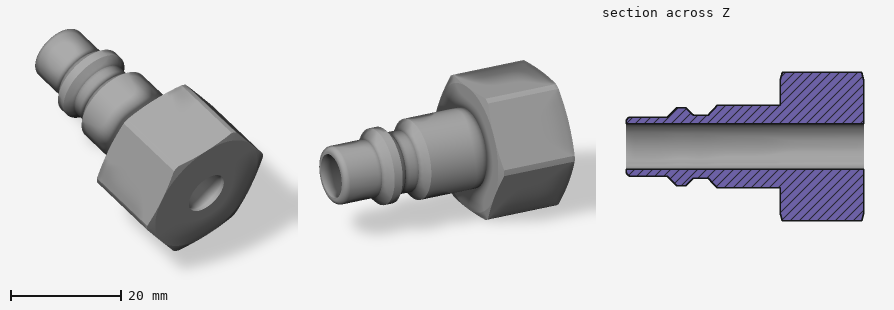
import cadquery as cq
import math

total_length = 43.3
bore_diameter = 8.2

tip_diameter = 10.85
collar_diameter = 14.25
neck_diameter = 11.5
body_diameter = 15.05
tip_rounding = 1.0

tip_end = 7.58
collar_start = 9.25
collar_end = 10.9
neck_start = 12.3
neck_end = 14.95
body_start = 16.6

hex_start = 27.97
hex_across_flats = 24.0
hex_corner_diameter = 27.05
hex_chamfer_angle = 15.0

hex_length = total_length - hex_start


def revolve_about_x(profile):
    return profile.close().revolve(360, (0, 0, 0), (1, 0, 0))


def make_stem():
    tip_radius = tip_diameter / 2
    collar_radius = collar_diameter / 2
    neck_radius = neck_diameter / 2
    body_radius = body_diameter / 2
    profile = (
        cq.Workplane("XY")
        .moveTo(0, 0)
        .lineTo(0, tip_radius - tip_rounding)
        .radiusArc((tip_rounding, tip_radius), tip_rounding)
        .lineTo(tip_end, tip_radius)
        .lineTo(collar_start, collar_radius)
        .lineTo(collar_end, collar_radius)
        .lineTo(neck_start, neck_radius)
        .lineTo(neck_end, neck_radius)
        .lineTo(body_start, body_radius)
        .lineTo(total_length, body_radius)
        .lineTo(total_length, 0)
    )
    return revolve_about_x(profile)


def make_hexagon():
    hex_across_corners = hex_across_flats / math.cos(math.radians(30))
    prism = (
        cq.Workplane("YZ", origin=(hex_start, 0, 0))
        .polygon(6, hex_across_corners)
        .extrude(hex_length)
    )
    flat_radius = hex_across_flats / 2
    corner_radius = hex_corner_diameter / 2
    chamfer_length = (corner_radius - flat_radius) * math.tan(math.radians(hex_chamfer_angle))
    envelope = (
        cq.Workplane("XY")
        .moveTo(hex_start, 0)
        .lineTo(hex_start, flat_radius)
        .lineTo(hex_start + chamfer_length, corner_radius)
        .lineTo(total_length - chamfer_length, corner_radius)
        .lineTo(total_length, flat_radius)
        .lineTo(total_length, 0)
    )
    return prism.intersect(revolve_about_x(envelope))


def make_bore():
    return cq.Workplane("YZ").circle(bore_diameter / 2).extrude(total_length)


result = make_stem().union(make_hexagon()).cut(make_bore())